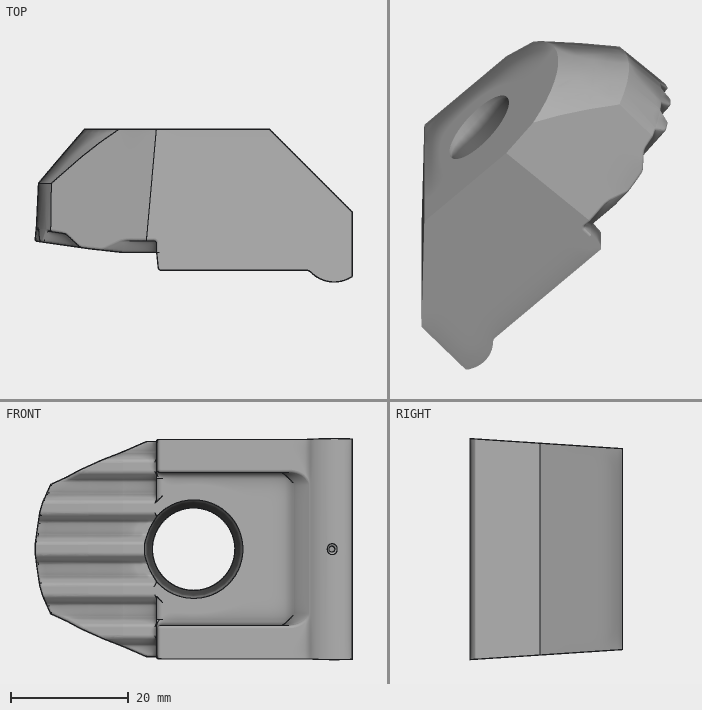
import cadquery as cq
import math


TOTAL_DEPTH = 26.0
HEEL_X = 27.0
FULL_HALF_HEIGHT = 37.63 / 2
BACK_HALF_HEIGHT = 17.1
DRAFT = (FULL_HALF_HEIGHT - BACK_HALF_HEIGHT) / TOTAL_DEPTH

BACK_CHAMFER = 14.1
FRONT_DEPTH = 24.0
HEEL_ROUND_X = 23.9
HEEL_ROUND_RADIUS = 5.5
HEEL_BLEND_RADIUS = 1.2
HEEL_CORNER_RADIUS = 0.3
DIMPLE_X = 23.5
DIMPLE_RADIUS = 0.95
DIMPLE_FLOOR_RADIUS = 0.5
DIMPLE_DEPTH = 0.35

TOE_LIMIT_X = -32.0
TOE_SIDE_Z = 19.88
TOE_SIDE_SLOPE = 0.438
TOE_SIDE_DRAFT = 0.105
NOSE_HALF_CHORD = 15.0
NOSE_BREAK_DEPTH = 9.2
NOSE_ARCS = [
    (0.0, -18.6, 20.3),
    (NOSE_BREAK_DEPTH, -26.45, 24.4),
    (TOTAL_DEPTH, -27.38, 25.4),
]

FLOOR_DEPTH = 21.0
STEP_X = -6.3
STEP_TOP_X = -6.0
WINDOW_HALF_HEIGHT = 13.0
WINDOW_RAMP_X = 16.55
WINDOW_FLOOR_RADIUS = 1.0
WINDOW_RAMP_RADIUS = 2.0
WINDOW_CORNER_RADIUS = 2.05
RAIL_EDGE_RADIUS = 0.5
BORE_BACK_RADIUS = 7.0

TOOTH_PITCH = 7.0
TOOTH_DEPTH = 2.0
TIP_HALF_WIDTH = 1.05
VALLEY_HALF_WIDTH = 1.1
TIP_RADIUS = 0.8
VALLEY_RADIUS = 0.45
VALLEY_COUNT = 6
TOOTH_LINE = [(-30.0, 18.6), (-17.8, 20.35), (-11.95, FLOOR_DEPTH), (STEP_X, FLOOR_DEPTH)]
TOOTH_END_RADIUS = 1.0
TOOTH_ROOT_RADIUS = 0.45
TOE_ZONE_END_X = STEP_X + 1.5 * TOOTH_END_RADIUS
TOE_EDGE_RADIUS = 0.4
TOE_WALL_CENTER_LIMIT = 16.0

CLEARANCE = 4.0


def plane_at_depth(depth):
    """XZ workplane at a given distance in front of the back face."""
    return cq.Workplane("XZ").workplane(offset=depth)


def ruled_loft(wires):
    return cq.Workplane(cq.Solid.makeLoft(wires, True))


def make_profile():
    """Side outline of the body, spanning its full height."""
    round_y = HEEL_ROUND_RADIUS - TOTAL_DEPTH
    foot_dx = math.sqrt(HEEL_ROUND_RADIUS**2 - (FRONT_DEPTH + round_y) ** 2)
    corner_dx = HEEL_X - HEEL_ROUND_X
    corner_y = round_y - math.sqrt(HEEL_ROUND_RADIUS**2 - corner_dx**2)
    profile = (
        cq.Workplane("XY")
        .workplane(offset=-FULL_HALF_HEIGHT)
        .moveTo(TOE_LIMIT_X, 0)
        .lineTo(HEEL_X - BACK_CHAMFER, 0)
        .lineTo(HEEL_X, -BACK_CHAMFER)
        .lineTo(HEEL_X, corner_y)
        .threePointArc((HEEL_ROUND_X, -TOTAL_DEPTH), (HEEL_ROUND_X - foot_dx, -FRONT_DEPTH))
        .lineTo(STEP_TOP_X, -FRONT_DEPTH)
        .lineTo(STEP_X, -FLOOR_DEPTH)
    )
    for x, depth in reversed(TOOTH_LINE[:-1]):
        profile = profile.lineTo(x, -depth)
    profile = profile.lineTo(TOE_LIMIT_X, -TOOTH_LINE[0][1])
    body = profile.close().extrude(2 * FULL_HALF_HEIGHT)
    foot = cq.selectors.NearestToPointSelector((HEEL_ROUND_X - foot_dx, -FRONT_DEPTH, 0))
    body = body.edges("|Z").edges(foot).fillet(HEEL_BLEND_RADIUS)
    corner = cq.selectors.NearestToPointSelector((HEEL_X, corner_y, 0))
    return body.edges("|Z").edges(corner).fillet(HEEL_CORNER_RADIUS)


def plan_wire(depth):
    """Drafted body outline with the two toe side planes."""
    half_height = BACK_HALF_HEIGHT + DRAFT * depth
    side_z = TOE_SIDE_Z + TOE_SIDE_DRAFT * depth
    meet_x = (half_height - side_z) / TOE_SIDE_SLOPE
    toe_z = side_z + TOE_SIDE_SLOPE * TOE_LIMIT_X
    right_x = HEEL_X + CLEARANCE
    points = [
        (right_x, half_height),
        (meet_x, half_height),
        (TOE_LIMIT_X, toe_z),
        (TOE_LIMIT_X, -toe_z),
        (meet_x, -half_height),
        (right_x, -half_height),
    ]
    return plane_at_depth(depth).polyline(points).close().val()


def nose_wire(depth, tip_x, radius):
    """Outline that rounds the toe and stays clear of everything else."""
    chord_x = tip_x + radius - math.sqrt(radius**2 - NOSE_HALF_CHORD**2)
    right_x = HEEL_X + CLEARANCE
    outer_z = FULL_HALF_HEIGHT + CLEARANCE
    return (
        plane_at_depth(depth)
        .moveTo(chord_x, NOSE_HALF_CHORD)
        .threePointArc((tip_x, 0), (chord_x, -NOSE_HALF_CHORD))
        .lineTo(chord_x, -outer_z)
        .lineTo(right_x, -outer_z)
        .lineTo(right_x, outer_z)
        .lineTo(chord_x, outer_z)
        .close()
        .val()
    )


def make_body():
    plan = ruled_loft([plan_wire(depth) for depth in (0, TOTAL_DEPTH)])
    nose = ruled_loft([nose_wire(*arc) for arc in NOSE_ARCS])
    return make_profile().intersect(plan).intersect(nose)


def window_prism():
    height = FRONT_DEPTH - FLOOR_DEPTH + CLEARANCE
    start_x = STEP_X - CLEARANCE
    return (
        cq.Workplane("XY")
        .workplane(offset=-WINDOW_HALF_HEIGHT)
        .moveTo(start_x, -FLOOR_DEPTH)
        .lineTo(WINDOW_RAMP_X, -FLOOR_DEPTH)
        .lineTo(WINDOW_RAMP_X + height, -FLOOR_DEPTH - height)
        .lineTo(start_x, -FLOOR_DEPTH - height)
        .close()
        .extrude(2 * WINDOW_HALF_HEIGHT)
    )


def make_window():
    """Cutter for the pocket between the rails, with a 45 degree ramp at the heel end."""
    foot = cq.selectors.NearestToPointSelector((WINDOW_RAMP_X, -FLOOR_DEPTH, 0))
    floor_rounded = window_prism().edges("|Z").edges(foot).fillet(WINDOW_RAMP_RADIUS)
    floor_rounded = floor_rounded.faces(">Y").edges("|X").fillet(WINDOW_FLOOR_RADIUS)
    ramp_corners = cq.selectors.ParallelDirSelector(cq.Vector(1, -1, 0))
    corner_rounded = window_prism().edges(ramp_corners).fillet(WINDOW_CORNER_RADIUS)
    return floor_rounded.intersect(corner_rounded)


def groove_wire(x, tip_depth, center_z):
    """Rounded trapezoid between two neighbouring tooth tips."""
    flank_run = TOOTH_PITCH / 2 - TIP_HALF_WIDTH - VALLEY_HALF_WIDTH
    flank_length = math.hypot(flank_run, TOOTH_DEPTH)
    run_part = flank_run / flank_length
    depth_part = TOOTH_DEPTH / flank_length
    half_turn = math.atan2(TOOTH_DEPTH, flank_run) / 2
    tip_tangent = TIP_RADIUS * math.tan(half_turn)
    valley_tangent = VALLEY_RADIUS * math.tan(half_turn)
    tip_z = VALLEY_HALF_WIDTH + flank_run
    flat_z = tip_z + tip_tangent

    valley_depth = tip_depth - TOOTH_DEPTH
    mid_z = math.sin(half_turn)
    mid_drop = 1 - math.cos(half_turn)
    valley_start_z = VALLEY_HALF_WIDTH - valley_tangent
    side = [
        (flat_z, tip_depth + CLEARANCE),
        (flat_z, tip_depth),
        (flat_z - TIP_RADIUS * mid_z, tip_depth - TIP_RADIUS * mid_drop),
        (tip_z - tip_tangent * run_part, tip_depth - tip_tangent * depth_part),
        (VALLEY_HALF_WIDTH + valley_tangent * run_part, valley_depth + valley_tangent * depth_part),
        (valley_start_z + VALLEY_RADIUS * mid_z, valley_depth + VALLEY_RADIUS * mid_drop),
        (valley_start_z, valley_depth),
    ]
    upper = [(-depth, center_z + half) for half, depth in side]
    lower = [(-depth, center_z - half) for half, depth in side]
    return (
        cq.Workplane("YZ")
        .workplane(offset=x)
        .moveTo(*upper[0])
        .lineTo(*upper[1])
        .threePointArc(upper[2], upper[3])
        .lineTo(*upper[4])
        .threePointArc(upper[5], upper[6])
        .lineTo(*lower[6])
        .threePointArc(lower[5], lower[4])
        .lineTo(*lower[3])
        .threePointArc(lower[2], lower[1])
        .lineTo(*lower[0])
        .close()
        .val()
    )


def make_toe_zone():
    """Block around the toe, up to the window floor and just past the groove ends."""
    length = TOE_ZONE_END_X - TOE_LIMIT_X
    height = 2 * (FULL_HALF_HEIGHT + CLEARANCE)
    zone = cq.Workplane("XY").box(length, FLOOR_DEPTH, height, centered=(False, False, True))
    return zone.translate((TOE_LIMIT_X, -FLOOR_DEPTH, 0))


def make_groove(center_z):
    """Groove cutter whose end at the step is rounded into a concave root."""
    groove = ruled_loft([groove_wire(x, depth, center_z) for x, depth in TOOTH_LINE])
    root_edges = cq.selectors.BoxSelector(
        (STEP_X - 0.01, -FLOOR_DEPTH - 0.01, center_z - TOOTH_PITCH),
        (STEP_X + 0.01, TOOTH_DEPTH - FLOOR_DEPTH + 0.01, center_z + TOOTH_PITCH),
    )
    return groove.edges(root_edges).fillet(TOOTH_ROOT_RADIUS)


def cut_grooves(body):
    for index in range(VALLEY_COUNT):
        center_z = (index - (VALLEY_COUNT - 1) / 2) * TOOTH_PITCH
        body = body.cut(make_groove(center_z))
    return body


def round_groove_ends(body):
    """Round the window floor over the ends of the two grooves beside the bore."""
    floor_y = -FLOOR_DEPTH
    end_x = STEP_X + TOOTH_END_RADIUS
    inner_z = TOOTH_PITCH + TIP_HALF_WIDTH
    outer_z = WINDOW_HALF_HEIGHT - WINDOW_FLOOR_RADIUS
    arc_offset = TOOTH_END_RADIUS * (1 - math.sqrt(0.5))
    corner = (
        cq.Workplane("XY")
        .workplane(offset=inner_z)
        .moveTo(STEP_X, floor_y)
        .lineTo(STEP_X, floor_y + TOOTH_END_RADIUS)
        .threePointArc((STEP_X + arc_offset, floor_y + arc_offset), (end_x, floor_y))
        .close()
        .extrude(outer_z - inner_z)
    )
    plan = (
        plane_at_depth(0)
        .polyline(
            [
                (STEP_X, inner_z),
                (end_x, inner_z + TOOTH_END_RADIUS),
                (end_x, outer_z),
                (STEP_X, outer_z),
            ]
        )
        .close()
        .extrude(TOTAL_DEPTH)
    )
    upper = corner.intersect(plan)
    return body.cut(upper).cut(upper.mirror("XY"))


def round_toe_edge(body):
    """Round the toothed edge where the grooves run out through the outer walls."""
    reach = TOTAL_DEPTH * 2
    outer_walls = cq.selectors.BoxSelector(
        (-reach, -TOE_WALL_CENTER_LIMIT, -reach),
        (reach, 0, reach),
    )
    outline_edges = cq.selectors.BoxSelector(
        (-reach, -FLOOR_DEPTH, -reach),
        (STEP_X - TOOTH_ROOT_RADIUS, -TOE_WALL_CENTER_LIMIT, reach),
    )
    return body.faces(outer_walls).edges(outline_edges).fillet(TOE_EDGE_RADIUS)


def make_bore():
    """Through bore that widens towards the front with the casting draft."""
    front_radius = BORE_BACK_RADIUS + DRAFT * TOTAL_DEPTH
    toward_front = cq.Vector(0, -1, 0)
    bore = cq.Solid.makeCone(
        BORE_BACK_RADIUS, front_radius, TOTAL_DEPTH, cq.Vector(0, 0, 0), toward_front
    )
    return cq.Workplane(bore)


def make_dimple():
    floor = cq.Vector(DIMPLE_X, DIMPLE_DEPTH - TOTAL_DEPTH, 0)
    dimple = cq.Solid.makeCone(
        DIMPLE_FLOOR_RADIUS, DIMPLE_RADIUS, DIMPLE_DEPTH, floor, cq.Vector(0, -1, 0)
    )
    return cq.Workplane(dimple)


def round_rails(body):
    """Round the front edges of the window and of both rail ends at the step."""
    front_y = -FRONT_DEPTH
    rail_mid_x = (STEP_TOP_X + WINDOW_RAMP_X) / 2
    rail_edge = cq.selectors.NearestToPointSelector((rail_mid_x, front_y, WINDOW_HALF_HEIGHT))
    body = body.edges(rail_edge).fillet(RAIL_EDGE_RADIUS)
    rail_mid_z = (WINDOW_HALF_HEIGHT + FULL_HALF_HEIGHT) / 2
    for side in (-1, 1):
        step_edge = cq.selectors.NearestToPointSelector((STEP_TOP_X, front_y, side * rail_mid_z))
        body = body.edges(step_edge).fillet(RAIL_EDGE_RADIUS)
    return body


blank = make_body()
toe = round_toe_edge(cut_grooves(blank.intersect(make_toe_zone())))
clamp = round_rails(blank.cut(make_window()))
body = clamp.cut(make_toe_zone()).union(toe)
body = round_groove_ends(body)
body = body.cut(make_bore())
result = body.cut(make_dimple())